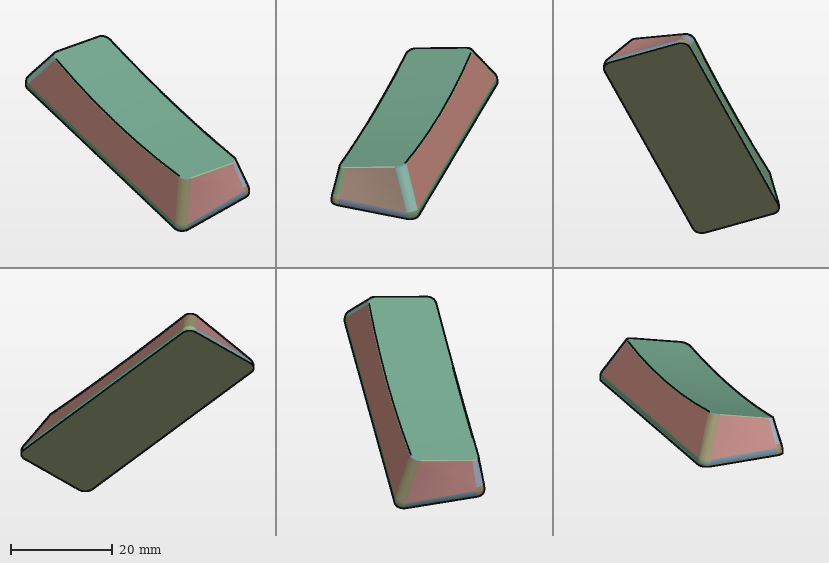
import cadquery as cq
import math

LENGTH = 51.5
WIDTH = 18.2
EDGE_RADIUS = 1.9

SKIRT_HEIGHT = 1.0
FRONT_DRAFT = 25.4
BACK_DRAFT = 4.6
RIM_LENGTH = 43.45
RIM_FRONT_HEIGHT = 9.4
RIM_TILT = 13.6

BLANK_STRETCH = 1.06

SCOOP_RADIUS = 169.95
SCOOP_HALF_SPAN = 21.25
RIM_FILLET = 0.25

front_slope = math.tan(math.radians(FRONT_DRAFT))
back_slope = math.tan(math.radians(BACK_DRAFT))
tilt_slope = math.tan(math.radians(RIM_TILT))

front_rise = RIM_FRONT_HEIGHT - SKIRT_HEIGHT
rim_front_y = -WIDTH / 2 + front_rise * front_slope
back_rise = (front_rise - tilt_slope * (WIDTH / 2 - rim_front_y)) / (1 - tilt_slope * back_slope)
side_inset = (LENGTH - RIM_LENGTH) / 2


def rectangle_wire(half_length, front_y, back_y, front_z, back_z):
    """Rectangle whose front and back sides may lie at different heights."""
    return cq.Wire.makePolygon(
        [
            cq.Vector(-half_length, front_y, front_z),
            cq.Vector(half_length, front_y, front_z),
            cq.Vector(half_length, back_y, back_z),
            cq.Vector(-half_length, back_y, back_z),
        ],
        close=True,
    )


def make_body():
    """Skirt and leaning walls, stretched past the rim so the scoop can trim them."""
    front_stretched = front_rise * BLANK_STRETCH
    back_stretched = back_rise * BLANK_STRETCH
    foot = rectangle_wire(LENGTH / 2, -WIDTH / 2, WIDTH / 2, SKIRT_HEIGHT, SKIRT_HEIGHT)
    crown = rectangle_wire(
        LENGTH / 2 - side_inset * BLANK_STRETCH,
        -WIDTH / 2 + front_stretched * front_slope,
        WIDTH / 2 - back_stretched * back_slope,
        SKIRT_HEIGHT + front_stretched,
        SKIRT_HEIGHT + back_stretched,
    )
    walls = cq.Workplane(cq.Solid.makeLoft([foot, crown], True))
    skirt = cq.Workplane("XY").box(LENGTH, WIDTH, SKIRT_HEIGHT, centered=(True, True, False))
    block = skirt.union(walls)
    sharp_edges = block.faces("<Z or >Z").edges().vals()
    rounded = [edge for edge in block.edges().vals() if edge not in sharp_edges]
    return block.newObject(rounded).fillet(EDGE_RADIUS)


def make_scoop():
    """Large cylinder whose axis tilts down toward the back."""
    axis_rise = math.sqrt(SCOOP_RADIUS**2 - SCOOP_HALF_SPAN**2)
    return (
        cq.Workplane("XZ")
        .center(0, axis_rise)
        .circle(SCOOP_RADIUS)
        .extrude(2 * WIDTH, both=True)
        .rotate((0, 0, 0), (1, 0, 0), -RIM_TILT)
        .translate((0, rim_front_y, RIM_FRONT_HEIGHT))
    )


keycap = make_body().cut(make_scoop())

top_face = cq.selectors.NearestToPointSelector((0, 0, RIM_FRONT_HEIGHT))
result = keycap.faces(top_face).edges().fillet(RIM_FILLET)